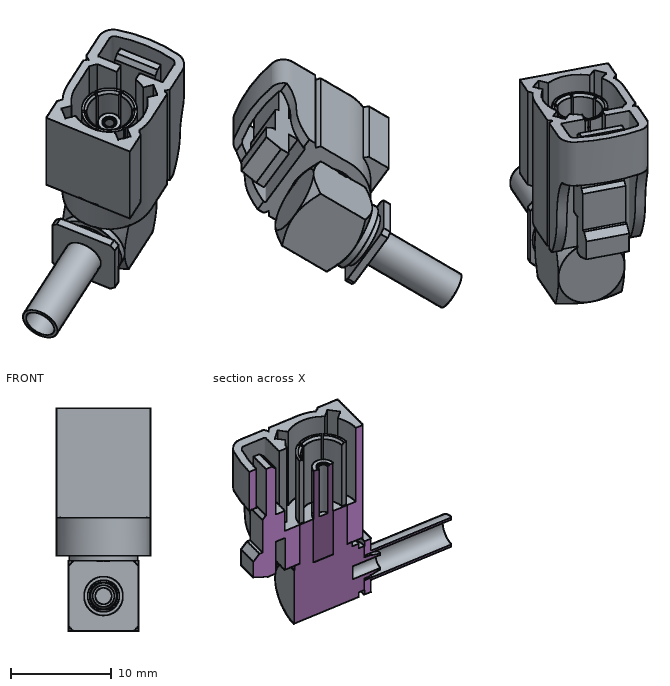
import cadquery as cq
import math


elbow_width = 7.02
elbow_half = elbow_width / 2
elbow_cone_angle = 30
collar_end_y = -4.2
neck_radius = 2.9
barrel_root_radius = 3.45
barrel_radius = 2.8
barrel_bore_radius = 2.25
barrel_mouth_radius = 2.53
barrel_slot_width = 0.22
barrel_slot_count = 6
barrel_drop = 1.4

stem_radius = 1.4
stem_nose_radius = 1.32
stem_tip_radius = 1.08
stem_nose_length = 1.08
stem_bore_radius = 0.82

tube_radius = 1.95
tube_bore_radius = 1.59
tube_end_y = -15.22
flange_back_y = -4.85
flange_front_y = -5.68
flange_chamfer = 0.5

contact_radius = 1.15
contact_drop = 3.37
contact_mouth_radius = 0.72
contact_ledge_radius = 0.6
contact_bore_radius = 0.48

housing_width = 9.4
housing_half = housing_width / 2
housing_height = 14.77
housing_gap = 0.5
crown_y = 8.83
crown_radius = 15.27
crown_corner_radius = 1.65
notch_vertex_y = -1.88
notch_edge_y = -2.33
groove_y = 3.78
groove_depth = 0.43
groove_half_width = 0.31
square_depth = 10.95

cavity_radius = 3.82
cavity_depth = 9.62
cavity_back_y = 3.68
cavity_corner = 0.6
keyway_width = 1.32
keyway_reach = 4.83
keyway_angles = (45, -45, -135)
entry_slot_width = 2.12

window_half = 3.63
window_front_y = 4.6
window_wall = 0.85
window_corner_radius = 0.55
window_front_corner_radius = 0.1

back_wall_depth = 5.12
side_start_y = 7.45
side_waist_y = 6.35
side_waist_depth = 9.85
side_foot_y = 4.8

latch_width = 4.55
latch_top_depth = 0.53
latch_rib_y = 6.85
latch_step_depth = 7.0
latch_inner_y = 5.65
latch_top_inner_y = 6.13
latch_outer_y = 7.26
latch_ledge_depth = 11.23
latch_ledge_y = 7.62
latch_hook_y = 8.35
latch_hook_top_depth = 11.95
latch_hook_bottom_depth = 14.05
latch_foot_y = 6.6
latch_bridge_depth = 7.0
latch_bridge_height = 3.6

housing_bottom = elbow_half + housing_gap
housing_top = housing_bottom + housing_height
cavity_floor = housing_top - cavity_depth
barrel_top = housing_top - barrel_drop
contact_top = housing_top - contact_drop


def level(z):
    """Horizontal workplane at the given height."""
    return cq.Workplane("XY", origin=(0, 0, z))


def bowed_y(bow_top, bow_radius, x):
    """Y at x of an arc centred on the Y axis whose highest point is bow_top."""
    return bow_top - bow_radius + math.sqrt(bow_radius**2 - x**2)


def housing_outline():
    """Full-height block with bowed back wall, side grooves and notches."""
    notch_vertex_x = math.sqrt(housing_half**2 - notch_vertex_y**2)
    mid_angle = math.asin(-notch_vertex_y / housing_half) / 2
    arc_mid_x = housing_half * math.cos(mid_angle)
    arc_mid_y = -housing_half * math.sin(mid_angle)
    corner_y = bowed_y(crown_y, crown_radius, housing_half)
    groove_x = housing_half - groove_depth
    block = (
        level(housing_bottom)
        .moveTo(-housing_half, -housing_half)
        .lineTo(housing_half, -housing_half)
        .lineTo(housing_half, notch_edge_y)
        .lineTo(notch_vertex_x, notch_vertex_y)
        .threePointArc((arc_mid_x, arc_mid_y), (housing_half, 0))
        .lineTo(housing_half, groove_y - groove_half_width)
        .lineTo(groove_x, groove_y)
        .lineTo(housing_half, groove_y + groove_half_width)
        .lineTo(housing_half, corner_y)
        .threePointArc((0, crown_y), (-housing_half, corner_y))
        .lineTo(-housing_half, groove_y + groove_half_width)
        .lineTo(-groove_x, groove_y)
        .lineTo(-housing_half, groove_y - groove_half_width)
        .lineTo(-housing_half, 0)
        .threePointArc((-arc_mid_x, arc_mid_y), (-notch_vertex_x, notch_vertex_y))
        .lineTo(-housing_half, notch_edge_y)
        .close()
        .extrude(housing_height)
    )
    return block.edges("|Z").edges(">Y").fillet(crown_corner_radius)


def round_foot_waste():
    """Material outside the body cylinder below the square front corners."""
    foot_height = housing_height - square_depth
    corners = (
        level(housing_bottom)
        .center(0, notch_vertex_y - housing_half)
        .rect(2 * housing_width, housing_width)
        .extrude(foot_height)
    )
    return corners.cut(level(housing_bottom).circle(housing_half).extrude(foot_height))


def mating_cavity():
    """Round cavity with one squared corner, three keyways and an entry slot from the window."""
    floor = level(cavity_floor)
    cavity = floor.circle(cavity_radius).extrude(cavity_depth)
    squared_corner = (
        floor.moveTo(0, 0)
        .lineTo(0, cavity_back_y)
        .lineTo(cavity_corner - cavity_radius, cavity_back_y)
        .lineTo(-cavity_radius, cavity_back_y - cavity_corner)
        .lineTo(-cavity_radius, 0)
        .close()
        .extrude(cavity_depth)
    )
    entry_slot = (
        floor.center(0, window_front_y / 2)
        .rect(entry_slot_width, window_front_y)
        .extrude(cavity_depth)
    )
    cavity = cavity.union(squared_corner).union(entry_slot)
    keyway = (
        floor.center(keyway_reach / 2, 0)
        .rect(keyway_reach, keyway_width)
        .extrude(cavity_depth)
    )
    for angle in keyway_angles:
        cavity = cavity.union(keyway.rotate((0, 0, 0), (0, 0, 1), angle))
    return cavity


def latch_window():
    """Opening behind the mating cavity, with a bowed back."""
    bow_top = crown_y - window_wall
    corner_y = bowed_y(bow_top, crown_radius - window_wall, window_half)
    return (
        level(housing_bottom)
        .moveTo(-window_half, window_front_y)
        .lineTo(window_half, window_front_y)
        .lineTo(window_half, corner_y)
        .threePointArc((0, bow_top), (-window_half, corner_y))
        .close()
        .extrude(housing_height)
        .edges("|Z")
        .edges(">Y")
        .fillet(window_corner_radius)
        .edges("|Z")
        .edges("<Y")
        .fillet(window_front_corner_radius)
    )


def tangent_arc_middle(waist, end):
    """Middle point of the arc that leaves the waist along Z and runs to the end point."""
    across = end[0] - waist[0]
    along = end[1] - waist[1]
    radius = (across**2 + along**2) / (2 * across)
    half_sweep = math.atan2(abs(along), abs(radius - across)) / 2
    middle_y = waist[0] + radius * (1 - math.cos(half_sweep))
    middle_z = waist[1] + math.copysign(radius * math.sin(half_sweep), along)
    return middle_y, middle_z


def side_wall_waste():
    """Material below the back wall and behind the S-curved edges of the side walls."""
    back_wall_bottom = housing_top - back_wall_depth
    start = (side_start_y, back_wall_bottom)
    waist = (side_waist_y, housing_top - side_waist_depth)
    foot = (side_foot_y, housing_bottom)
    return (
        cq.Workplane("YZ")
        .moveTo(2 * crown_y, back_wall_bottom)
        .lineTo(*start)
        .threePointArc(tangent_arc_middle(waist, start), waist)
        .threePointArc(tangent_arc_middle(waist, foot), foot)
        .lineTo(2 * crown_y, housing_bottom)
        .close()
        .extrude(housing_half, both=True)
    )


def latch():
    """Hooked latch tongue, held by a bridge to the front of the window."""
    top = housing_top - latch_top_depth
    step = housing_top - latch_step_depth
    bridge_top = housing_top - latch_bridge_depth
    bridge_bottom = bridge_top - latch_bridge_height
    return (
        cq.Workplane("YZ")
        .moveTo(window_front_y, bridge_top)
        .lineTo(latch_inner_y, bridge_top)
        .lineTo(latch_inner_y, top - (latch_top_inner_y - latch_inner_y))
        .lineTo(latch_top_inner_y, top)
        .lineTo(latch_rib_y, top)
        .lineTo(latch_rib_y, step + latch_outer_y - latch_rib_y)
        .lineTo(latch_outer_y, step)
        .lineTo(latch_outer_y, housing_top - latch_ledge_depth)
        .lineTo(latch_ledge_y, housing_top - latch_ledge_depth)
        .lineTo(latch_hook_y, housing_top - latch_hook_top_depth)
        .lineTo(latch_hook_y, housing_top - latch_hook_bottom_depth)
        .lineTo(latch_foot_y, housing_bottom)
        .lineTo(latch_inner_y, housing_bottom)
        .lineTo(latch_inner_y, bridge_bottom)
        .lineTo(window_front_y, bridge_bottom)
        .close()
        .extrude(latch_width / 2, both=True)
    )


def build_housing():
    barrel_hole = level(housing_bottom).circle(barrel_radius).extrude(housing_height)
    return (
        housing_outline()
        .cut(round_foot_waste())
        .cut(latch_window())
        .cut(side_wall_waste())
        .cut(mating_cavity())
        .cut(barrel_hole)
        .union(latch())
    )


def elbow_block():
    """Cube whose corners are turned off by a cone at each end of the cable axis."""
    corner_radius = elbow_half * math.sqrt(2)
    cone_length = (corner_radius - elbow_half) * math.tan(math.radians(elbow_cone_angle))
    turned = (
        cq.Workplane("XY")
        .moveTo(0, -elbow_half)
        .lineTo(elbow_half, -elbow_half)
        .lineTo(corner_radius, cone_length - elbow_half)
        .lineTo(corner_radius, elbow_half - cone_length)
        .lineTo(elbow_half, elbow_half)
        .lineTo(0, elbow_half)
        .close()
        .revolve(360, (0, 0), (0, 1))
    )
    return cq.Workplane("XY").box(elbow_width, elbow_width, elbow_width).intersect(turned)


def cable_stem():
    """Collar, neck and bored stem with a tapered nose along the cable axis."""
    tip_y = flange_front_y - stem_nose_length
    return (
        cq.Workplane("XY")
        .moveTo(0, -elbow_half)
        .lineTo(elbow_half, -elbow_half)
        .lineTo(elbow_half, collar_end_y)
        .lineTo(neck_radius, collar_end_y)
        .lineTo(neck_radius, flange_back_y)
        .lineTo(stem_radius, flange_back_y)
        .lineTo(stem_radius, flange_front_y)
        .lineTo(stem_nose_radius, flange_front_y)
        .lineTo(stem_tip_radius, tip_y)
        .lineTo(stem_bore_radius, tip_y)
        .lineTo(stem_bore_radius, -elbow_half)
        .lineTo(0, -elbow_half)
        .close()
        .revolve(360, (0, 0), (0, 1))
    )


def barrel():
    """Slotted spring barrel on its root, with a 45 degree mouth and a hole for the contact."""
    mouth_bottom = barrel_top - (barrel_mouth_radius - barrel_bore_radius)
    body = (
        cq.Workplane("XZ")
        .moveTo(contact_radius, elbow_half)
        .lineTo(barrel_root_radius, elbow_half)
        .lineTo(barrel_root_radius, housing_bottom)
        .lineTo(barrel_radius, housing_bottom)
        .lineTo(barrel_radius, barrel_top)
        .lineTo(barrel_mouth_radius, barrel_top)
        .lineTo(barrel_bore_radius, mouth_bottom)
        .lineTo(barrel_bore_radius, cavity_floor)
        .lineTo(contact_radius, cavity_floor)
        .close()
        .revolve(360, (0, 0), (0, 1))
    )
    slot = (
        level(cavity_floor)
        .center(0, barrel_radius / 2)
        .rect(barrel_slot_width, barrel_radius)
        .extrude(barrel_top - cavity_floor)
    )
    for index in range(barrel_slot_count):
        body = body.cut(slot.rotate((0, 0, 0), (0, 0, 1), index * 360 / barrel_slot_count))
    return body


def build_elbow():
    return elbow_block().union(cable_stem()).union(barrel())


def build_contact():
    """Sleeve with a countersunk, stepped socket."""
    ledge_z = contact_top - (contact_mouth_radius - contact_ledge_radius)
    return (
        cq.Workplane("XZ")
        .moveTo(0, elbow_half)
        .lineTo(contact_radius, elbow_half)
        .lineTo(contact_radius, contact_top)
        .lineTo(contact_mouth_radius, contact_top)
        .lineTo(contact_ledge_radius, ledge_z)
        .lineTo(contact_bore_radius, ledge_z)
        .lineTo(contact_bore_radius, cavity_floor)
        .lineTo(0, cavity_floor)
        .close()
        .revolve(360, (0, 0), (0, 1))
    )


def build_ferrule():
    """Square flange with chamfered corners and a plain tube."""
    back = cq.Workplane("XZ", origin=(0, flange_back_y, 0))
    flange = (
        back.rect(elbow_width, elbow_width)
        .extrude(flange_back_y - flange_front_y)
        .edges("|Y")
        .chamfer(flange_chamfer)
    )
    ferrule_length = flange_back_y - tube_end_y
    tube = back.circle(tube_radius).extrude(ferrule_length)
    bore = back.circle(tube_bore_radius).extrude(ferrule_length)
    return flange.union(tube).cut(bore)


housing = build_housing()
elbow = build_elbow()
contact = build_contact()
ferrule = build_ferrule()

result = cq.Compound.makeCompound([housing.val(), elbow.val(), contact.val(), ferrule.val()])